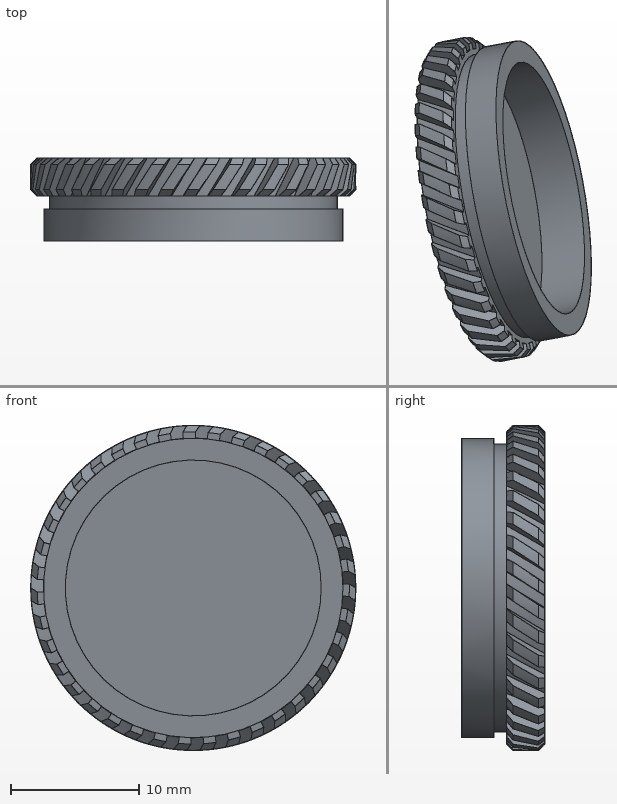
import cadquery as cq
import math

outer_diameter = 25.4
rim_width = 3.0
neck_width = 1.0
flange_width = 2.51

flange_diameter = 23.4
neck_diameter = 22.5
pocket_diameter = 20.0
pocket_depth = flange_width + neck_width

tooth_count = 39
tooth_depth = 1.0
tooth_chamfer = 0.5
rim_twist = 9.0
front_tooth_angle = 91.5

outer_radius = outer_diameter / 2
root_radius = outer_radius - tooth_depth
tooth_pitch = 360 / tooth_count
half_tooth = tooth_pitch / 4

neck_start = flange_width
rim_start = neck_start + neck_width
rim_end = rim_start + rim_width


def disc(diameter, start, end):
    """Solid cylinder on the Y axis between two Y positions."""
    plane = cq.Workplane("XZ", origin=(0, end, 0))
    return plane.circle(diameter / 2).extrude(end - start)


def polar(radius, degrees):
    angle = math.radians(degrees)
    return (radius * math.cos(angle), radius * math.sin(angle))


def toothed_blank():
    """Rim with radial-sided teeth twisted evenly from its back face to the neck."""
    first_tooth = front_tooth_angle - rim_twist
    profile = cq.Workplane("XZ", origin=(0, rim_end, 0))
    profile = profile.moveTo(*polar(root_radius, first_tooth - half_tooth))
    for index in range(tooth_count):
        tooth = first_tooth + index * tooth_pitch
        gap = tooth + tooth_pitch / 2
        next_tooth = tooth + tooth_pitch
        profile = profile.lineTo(*polar(outer_radius, tooth - half_tooth))
        profile = profile.threePointArc(polar(outer_radius, tooth), polar(outer_radius, tooth + half_tooth))
        profile = profile.lineTo(*polar(root_radius, tooth + half_tooth))
        profile = profile.threePointArc(polar(root_radius, gap), polar(root_radius, next_tooth - half_tooth))
    return profile.close().twistExtrude(rim_width, rim_twist)


def chamfered_envelope():
    """Plain rim disc whose chamfered edges bevel the tooth ends."""
    return disc(outer_diameter, rim_start, rim_end).edges("%CIRCLE").chamfer(tooth_chamfer)


rim = toothed_blank().intersect(chamfered_envelope())
neck = disc(neck_diameter, neck_start, rim_start)
flange = disc(flange_diameter, 0, flange_width)
pocket = disc(pocket_diameter, 0, pocket_depth)

result = rim.union(neck).union(flange).cut(pocket)